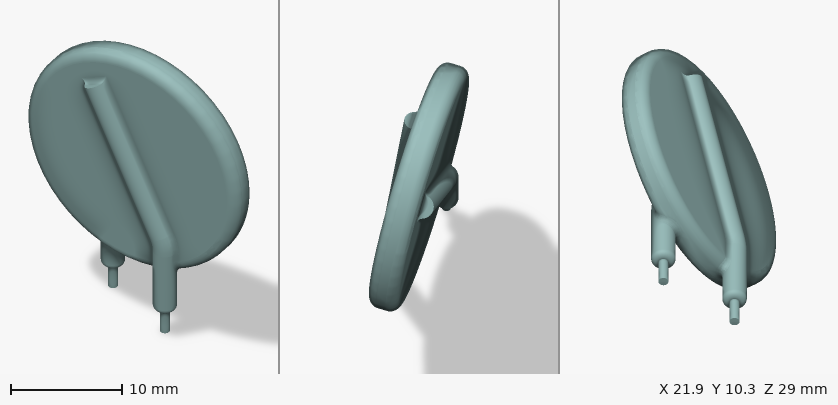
import cadquery as cq
import math

total_height = 29
disc_radius = 23.0 / 2
disc_thickness = 2.8
rim_rounding = 1.0
turn_angle = 21

sleeve_radius = 1.1
sleeve_offset = disc_thickness / 2
lead_position = 3.77
sleeve_bottom = -15.0
sleeve_end_rounding = 0.55
bend_start = -8.33
bend_radius = 3.48
lean = math.radians(26.5)
leaning_length = 16.0
seam_fillet = 0.5

pin_radius = 0.9 / 2
pin_bottom = disc_radius - total_height
pin_overlap = 0.58


def make_disc():
    """Disc on the Y axis with both rims rounded."""
    back = cq.Workplane("XZ", origin=(0, disc_thickness / 2, 0))
    disc = back.circle(disc_radius).extrude(disc_thickness)
    return disc.edges().fillet(rim_rounding)


def bend_point(angle):
    """Point (x, z) on the bend of the sleeve axis; angle in radians."""
    x = lead_position - bend_radius + bend_radius * math.cos(angle)
    return (x, bend_start + bend_radius * math.sin(angle))


def along_lean(distance):
    """Point (x, z) on the leaning part of the sleeve axis, measured from the bend."""
    x, z = bend_point(lean)
    return (x - distance * math.sin(lean), z + distance * math.cos(lean))


def make_sleeve():
    """Sleeve rising along the front face, then bending to lean across it."""
    path = (
        cq.Workplane("XZ", origin=(0, -sleeve_offset, 0))
        .moveTo(lead_position, sleeve_bottom)
        .lineTo(lead_position, bend_start)
        .threePointArc(bend_point(lean / 2), bend_point(lean))
        .lineTo(*along_lean(leaning_length))
    )
    sleeve = (
        cq.Workplane("XY", origin=(lead_position, -sleeve_offset, sleeve_bottom))
        .circle(sleeve_radius)
        .sweep(path)
    )
    return sleeve.faces("<Z").edges().fillet(sleeve_end_rounding)


def make_pin():
    """Bare wire below the sleeve."""
    return (
        cq.Workplane("XY", origin=(lead_position, -sleeve_offset, pin_bottom))
        .circle(pin_radius)
        .extrude(sleeve_bottom + pin_overlap - pin_bottom)
    )


def half_turn(body):
    return body.rotate((0, 0, 0), (0, 0, 1), 180)


def fillet_seams(body):
    """Blend both sleeves into the disc, along their sides and across their upper ends."""
    tip_x, tip_z = along_lean(leaning_length)
    mid_x, mid_z = along_lean(leaning_length / 2)
    side_x = sleeve_radius * math.cos(lean)
    side_z = sleeve_radius * math.sin(lean)
    front_points = [
        (tip_x, -sleeve_offset, tip_z),
        (mid_x + side_x, -sleeve_offset, mid_z + side_z),
        (mid_x - side_x, -sleeve_offset, mid_z - side_z),
    ]
    back_points = [(-x, -y, z) for x, y, z in front_points]
    seams = []
    for point in front_points + back_points:
        seams.append(body.edges(cq.NearestToPointSelector(point)).val())
    return body.newObject(seams).fillet(seam_fillet)


sleeve = make_sleeve()
pin = make_pin()
body = make_disc().union(sleeve).union(half_turn(sleeve))
body = fillet_seams(body)
body = body.union(pin).union(half_turn(pin))
result = body.rotate((0, 0, 0), (0, 0, 1), turn_angle)